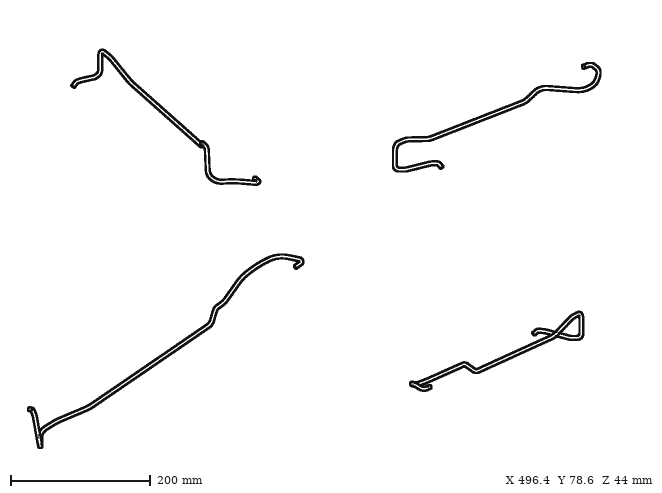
import cadquery as cq
import math

wire_diameter = 6.0

crest_height = 14.5
foot_height = -23.5
upright_y = -4.5
shoulder_y = -9.0
hook_y = -35.5
tail_y = 9.0
tail_height = 13.5

wire_start = cq.Vector(33.0, -64.5, -18.0)
wire_end = cq.Vector(476.0, tail_y, tail_height)
corners = [
    (cq.Vector(32.0, -58.5, -12.0), 6.0),
    (cq.Vector(28.0, -48.5, -13.0), 20.0),
    (cq.Vector(8.5, -17.5, foot_height), 20.0),
    (cq.Vector(0, upright_y, foot_height), 6.0),
    (cq.Vector(0, upright_y, crest_height), 10.0),
    (cq.Vector(30.0, -3.0, crest_height), 59.5),
    (cq.Vector(89.5, 0, 0), 59.5),
    (cq.Vector(322.5, 0, 0), 12.5),
    (cq.Vector(339.5, shoulder_y, crest_height), 10.0),
    (cq.Vector(355.5, shoulder_y, crest_height), 30.0),
    (cq.Vector(414.0, hook_y, 0.5), 49.5),
    (cq.Vector(444.0, hook_y, 3.0), 49.5),
    (cq.Vector(471.5, -24.0, crest_height), 44.5),
    (cq.Vector(494.5, tail_y, tail_height), 4.5),
]


def bend(before, corner, after, radius):
    """Return the start, middle and end of the arc that rounds a corner."""
    to_before = (before - corner).normalized()
    to_after = (after - corner).normalized()
    half_angle = to_before.getAngle(to_after) / 2
    setback = radius / math.tan(half_angle)
    middle_distance = radius / math.sin(half_angle) - radius
    middle = corner + (to_before + to_after).normalized() * middle_distance
    return corner + to_before * setback, middle, corner + to_after * setback


def centerline():
    """Join all straight runs and bends from one wire end to the other."""
    points = [wire_start] + [corner for corner, _ in corners] + [wire_end]
    edges = []
    position = wire_start
    for index, (corner, radius) in enumerate(corners):
        arc_start, arc_middle, arc_end = bend(points[index], corner, points[index + 2], radius)
        edges.append(cq.Edge.makeLine(position, arc_start))
        edges.append(cq.Edge.makeThreePointArc(arc_start, arc_middle, arc_end))
        position = arc_end
    edges.append(cq.Edge.makeLine(position, wire_end))
    return cq.Wire.assembleEdges(edges)


start_plane = cq.Plane(origin=wire_start, normal=corners[0][0] - wire_start)
result = cq.Workplane(start_plane).circle(wire_diameter / 2).sweep(cq.Workplane(centerline()))